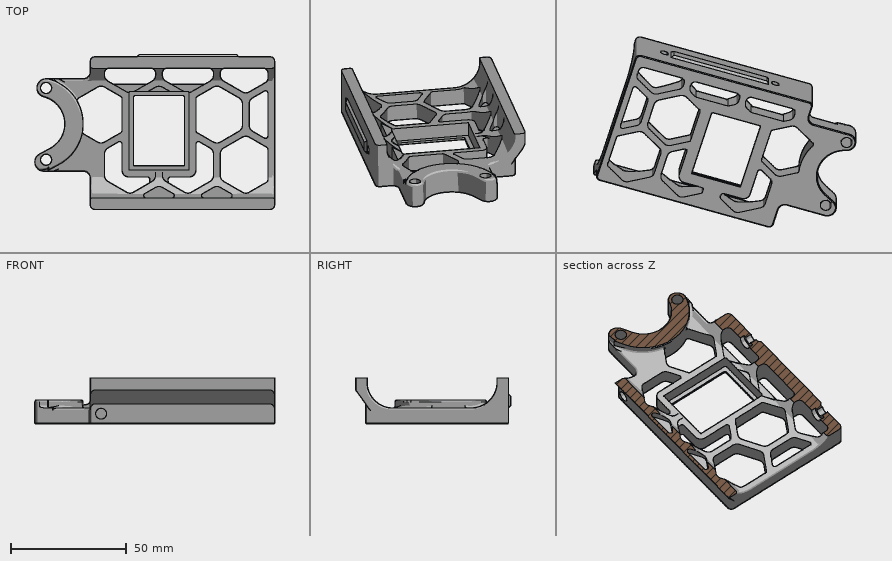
import cadquery as cq
import math

ARM_END_X = -39.7
FAR_END_X = 40.0
WIDTH = 66.0
HEIGHT = 20.0
FLOOR = 7.0
WALL_INNER_Y = 28.0
COVE_RADIUS = 11.0
CORNER_RADIUS = 2.0
RIM_ROUNDING = 1.0
BASE_CHAMFER = 0.4

UNDERCUT_TOP = 14.7
UNDERCUT_BOTTOM = 8.7
UNDERCUT_DEPTH = 4.3

ARM_BACK_Y = 23.5
ARM_FRONT_Y = -16.5
ARM_CORNER_RADIUS = 3.0
LOBE_RADIUS = 4.0
ARC_RADIUS = 16.0
ARC_Y = 4.0
CLAMP_TOP = 10.5
CLAMP_HOLE_X = -58.75
CLAMP_HOLE_SPACING = 31.0
HOLE_DIAMETER = 4.7
FRONT_LOBE_X = -59.65
CLAMP_ROUNDING = 1.0
FOOT_REACH = 1.6

CELL_PITCH = 25.0
CELL_GAP = 3.0
CELL_ROUNDING = 3.0
TRIM_ROUNDING = 1.0
BACK_TRIM_ROUNDING = 2.0
CELL_LIMIT_X = 37.0
GRID_X = -10.0
GRID_Y = 8.0

THROUGH_CELLS = [
    (-1, 0), (1, 0), (2, 0),
    (-0.5, 1), (0.5, 1), (1.5, 1),
    (-0.5, -1), (0.5, -1), (1.5, -1),
]
SHALLOW_CELLS = [(0, 0), (0, -2), (1, -2)]
BACK_ROW = 1

WINDOW_X = GRID_X
WINDOW_Y = 1.0
WINDOW_SIZE_X = 26.0
WINDOW_SIZE_Y = 34.0
FRAME_WALL = 3.0
FRAME_ROUNDING = 3.0
WINDOW_BACK_ROUNDING = 0.8
OPENING_Y = 1.1
OPENING_SIZE_X = 22.0
OPENING_SIZE_Y = 30.2
BAND_BACK_Y = 21.15
LEDGE_THICKNESS = 1.0
POST_WIDTH = 8.0
POST_LENGTH = 5.0

SIDE_HOLE_X = -35.0
SIDE_HOLE_Z = 4.5
SIDE_HOLE_DEPTH = 5.0
SCREW_COLUMNS = (-0.5, 1.5)
SCREW_Z = 10.0
SCREW_DIAMETER = 3.4
SCREW_HEAD_DIAMETER = 6.0
SCREW_HEAD_DEPTH = 2.0
PAD_LENGTH = 44.0
PAD_HEIGHT = 6.0
PAD_THICKNESS = 1.0
PAD_SLOPE = 45.0

TOLERANCE = 1e-3
SHORTEST_FOOT_EDGE = 1.0
SMOOTH_COSINE = 0.99

LENGTH = FAR_END_X - ARM_END_X
SIDE_Y = WIDTH / 2
UNDERCUT_Y = -SIDE_Y + UNDERCUT_DEPTH
COVE_Y = WALL_INNER_Y - COVE_RADIUS
COVE_Z = FLOOR + COVE_RADIUS
ARC_X = CLAMP_HOLE_X - math.sqrt(ARC_RADIUS**2 - (CLAMP_HOLE_SPACING / 2) ** 2)
ARC_INNER = ARC_RADIUS - LOBE_RADIUS
ARC_OUTER = ARC_RADIUS + LOBE_RADIUS
BACK_LOBE = (CLAMP_HOLE_X, ARM_BACK_Y - LOBE_RADIUS)
FRONT_LOBE = (FRONT_LOBE_X, ARM_FRONT_Y + LOBE_RADIUS)
FRAME_SIZE_X = WINDOW_SIZE_X + 2 * FRAME_WALL
FRAME_SIZE_Y = WINDOW_SIZE_Y + 2 * FRAME_WALL
ROW_PITCH = CELL_PITCH * math.sqrt(3) / 2
BAND_END_X = GRID_X + CELL_PITCH


def block(x0, x1, y0, y1, z0, z1):
    """Box given by its limits along each axis."""
    return cq.Workplane("XY").box(x1 - x0, y1 - y0, z1 - z0, centered=False).translate((x0, y0, z0))


def disc(x, y, radius, z0, z1):
    """Upright cylinder between two heights."""
    return cq.Workplane("XY", origin=(x, y, z0)).circle(radius).extrude(z1 - z0)


def y_cylinder(x, z, diameter, y0, y1):
    """Cylinder along Y from y0 towards larger y1."""
    return cq.Workplane("XZ", origin=(x, y0, z)).circle(diameter / 2).extrude(y0 - y1)


def channel_bar():
    """Bar with the channel section, long enough to cover body and arm."""
    diagonal = COVE_RADIUS * math.sqrt(0.5)
    return (
        cq.Workplane("YZ", origin=(-2 * LENGTH, 0, 0))
        .moveTo(UNDERCUT_Y, 0)
        .lineTo(SIDE_Y, 0)
        .lineTo(SIDE_Y, HEIGHT)
        .lineTo(WALL_INNER_Y, HEIGHT)
        .lineTo(WALL_INNER_Y, COVE_Z)
        .threePointArc((COVE_Y + diagonal, COVE_Z - diagonal), (COVE_Y, FLOOR))
        .lineTo(-COVE_Y, FLOOR)
        .threePointArc((-COVE_Y - diagonal, COVE_Z - diagonal), (-WALL_INNER_Y, COVE_Z))
        .lineTo(-WALL_INNER_Y, HEIGHT)
        .lineTo(-SIDE_Y, HEIGHT)
        .lineTo(-SIDE_Y, UNDERCUT_TOP)
        .lineTo(UNDERCUT_Y, UNDERCUT_BOTTOM)
        .close()
        .extrude(3 * LENGTH)
    )


def on_circle(x, y, radius, angle):
    """Point on a circle in plan, at an angle from +X in radians."""
    return (x + radius * math.cos(angle), y + radius * math.sin(angle))


def clamp_angles():
    """Directions from the arc centre to where the inner arc meets the back lobe and the front strip."""
    centre = (ARC_X, ARC_Y)
    back = math.atan2(BACK_LOBE[1] - ARC_Y, BACK_LOBE[0] - ARC_X)
    towards_front = math.atan2(FRONT_LOBE[1] - ARC_Y, FRONT_LOBE[0] - ARC_X)
    front = towards_front + math.acos(ARC_RADIUS / math.dist(FRONT_LOBE, centre))
    return back, front


def plan_outline():
    """Plan shape of body and arm; the clamp arc meets both lobes tangentially."""
    back_angle, front_angle = clamp_angles()
    bend = ARM_CORNER_RADIUS
    bend_middle = bend * math.sqrt(0.5)
    return (
        cq.Workplane("XY")
        .moveTo(*on_circle(*FRONT_LOBE, LOBE_RADIUS, -math.pi / 2))
        .lineTo(ARM_END_X - bend, ARM_FRONT_Y)
        .threePointArc(
            (ARM_END_X - bend + bend_middle, ARM_FRONT_Y - bend + bend_middle),
            (ARM_END_X, ARM_FRONT_Y - bend),
        )
        .lineTo(ARM_END_X, -SIDE_Y)
        .lineTo(FAR_END_X, -SIDE_Y)
        .lineTo(FAR_END_X, SIDE_Y)
        .lineTo(ARM_END_X, SIDE_Y)
        .lineTo(ARM_END_X, ARM_BACK_Y + bend)
        .threePointArc(
            (ARM_END_X - bend + bend_middle, ARM_BACK_Y + bend - bend_middle),
            (ARM_END_X - bend, ARM_BACK_Y),
        )
        .lineTo(*on_circle(*BACK_LOBE, LOBE_RADIUS, math.pi / 2))
        .threePointArc(
            on_circle(*BACK_LOBE, LOBE_RADIUS, math.pi),
            on_circle(*BACK_LOBE, LOBE_RADIUS, back_angle + math.pi),
        )
        .threePointArc(
            on_circle(ARC_X, ARC_Y, ARC_INNER, 0),
            on_circle(ARC_X, ARC_Y, ARC_INNER, front_angle),
        )
        .lineTo(*on_circle(*FRONT_LOBE, LOBE_RADIUS, front_angle + math.pi))
        .threePointArc(
            on_circle(*FRONT_LOBE, LOBE_RADIUS, math.pi),
            on_circle(*FRONT_LOBE, LOBE_RADIUS, -math.pi / 2),
        )
        .close()
    )


def on_end_face(x):
    """Whether x lies on either end of the body."""
    return min(abs(x - ARM_END_X), abs(x - FAR_END_X)) < TOLERANCE


def corner_edges(solid):
    """Upright outer corner edges of the long walls; the undercut keeps its sharp ends."""
    picked = []
    for edge in solid.edges("|Z").vals():
        centre = edge.Center()
        outside = centre.y < UNDERCUT_Y + TOLERANCE or centre.y > SIDE_Y - TOLERANCE
        if on_end_face(centre.x) and outside:
            picked.append(edge)
    return solid.newObject(picked)


def rim_edges(solid):
    """Upper edges of the channel along both ends and the arm sides."""
    picked = []
    for edge in solid.edges().vals():
        box = edge.BoundingBox()
        at_end = box.xlen < TOLERANCE and on_end_face(box.xmin)
        upper = box.zmin > FLOOR - TOLERANCE
        inside = abs(edge.Center().y) < WALL_INNER_Y + TOLERANCE
        beside_arm = box.xmax < ARM_END_X + TOLERANCE and box.xmin > ARC_X + ARC_RADIUS
        if upper and inside and (at_end or beside_arm):
            picked.append(edge)
    return solid.newObject(picked)


def base_body():
    """Channel with its arm, rounded corners and rims and a chamfered base."""
    body = plan_outline().extrude(HEIGHT).intersect(channel_bar())
    body = corner_edges(body).fillet(CORNER_RADIUS)
    body = rim_edges(body).fillet(RIM_ROUNDING)
    return body.faces("<Z").edges().chamfer(BASE_CHAMFER)


def clamp_column():
    """Outer disc of the clamp, widened by a strip running straight out to the front lobe."""
    bottom = FLOOR / 2
    front_angle = clamp_angles()[1]
    strip_length = math.dist(FRONT_LOBE, on_circle(ARC_X, ARC_Y, ARC_RADIUS, front_angle))
    strip = (
        block(0, ARC_OUTER, -strip_length, 0, bottom, CLAMP_TOP)
        .rotate((0, 0, 0), (0, 0, 1), math.degrees(front_angle))
        .translate((ARC_X, ARC_Y, 0))
    )
    return disc(ARC_X, ARC_Y, ARC_OUTER, bottom, CLAMP_TOP).union(strip)


def clamp():
    """Raised arc: the part of the arm within the outer edge of the clamp."""
    raised = plan_outline().extrude(CLAMP_TOP).intersect(clamp_column())
    return raised.faces(">Z").edges().fillet(CLAMP_ROUNDING)


def clamp_foot():
    """Concave rounding between the outer side of the clamp and the floor with its cove."""
    shoulder = CLAMP_TOP - CLAMP_ROUNDING
    column = disc(ARC_X, ARC_Y, ARC_OUTER, FLOOR / 2, HEIGHT)
    joined = channel_bar().union(column)
    foot_edges = []
    for edge in joined.edges().vals():
        box = edge.BoundingBox()
        near_column = box.xmax < ARC_X + ARC_OUTER + TOLERANCE
        curved = min(box.xlen, box.ylen) > SHORTEST_FOOT_EDGE
        below_top = FLOOR - TOLERANCE < box.zmin and box.zmax < HEIGHT - TOLERANCE
        if near_column and curved and below_top:
            foot_edges.append(edge)
    rounded = joined.newObject(foot_edges).fillet(CLAMP_ROUNDING)
    reach = disc(ARC_X, ARC_Y, ARC_OUTER + FOOT_REACH, FLOOR / 2, shoulder)
    return rounded.intersect(reach).intersect(plan_outline().extrude(HEIGHT))


def cell(column, row):
    """Rounded hexagonal prism of the honeycomb; whole rows are offset by half columns."""
    across_flats = CELL_PITCH - CELL_GAP
    x = GRID_X + column * CELL_PITCH
    y = GRID_Y + row * ROW_PITCH
    return (
        cq.Workplane("XY")
        .polygon(6, across_flats / math.cos(math.pi / 6))
        .extrude(HEIGHT)
        .edges("|Z")
        .fillet(CELL_ROUNDING)
        .rotate((0, 0, 0), (0, 0, 1), 30)
        .translate((x, y, 0))
    )


def trim_rounded(cutter, radius=TRIM_ROUNDING):
    """Round the sharp upright edges left where a cell was cut short."""
    picked = []
    for edge in cutter.edges("|Z").vals():
        faces = [f for f in cutter.faces().vals() if any(e.isSame(edge) for e in f.Edges())]
        middle = edge.Center()
        first, second = [f.normalAt(middle) for f in faces]
        if abs(first.dot(second)) < SMOOTH_COSINE:
            picked.append(edge)
    if not picked:
        return cutter
    return cutter.newObject(picked).fillet(radius)


def cell_limit(z0):
    """Space between the walls, short of the far end, that cells may occupy above z0."""
    return block(-LENGTH, CELL_LIMIT_X, -WALL_INNER_Y, WALL_INNER_Y, z0, HEIGHT)


def frame():
    """Solid block around the window, with the post towards the front wall."""
    half_x = FRAME_SIZE_X / 2
    half_y = FRAME_SIZE_Y / 2
    front = WINDOW_Y - half_y
    half_post = POST_WIDTH / 2
    body = block(WINDOW_X - half_x, WINDOW_X + half_x, front, WINDOW_Y + half_y, 0, FLOOR)
    body = body.edges("|Z and <Y").fillet(FRAME_ROUNDING)
    post = block(WINDOW_X - half_post, WINDOW_X + half_post, front - POST_LENGTH, WINDOW_Y, 0, FLOOR)
    return body.union(post)


def cut_cells(body):
    """Open the honeycomb: full-depth cells around the frame, shallow ones down to floor level."""
    ring = disc(ARC_X, ARC_Y, ARC_OUTER, 0, HEIGHT)
    back_band = block(-LENGTH, BAND_END_X, -SIDE_Y, BAND_BACK_Y, 0, FLOOR)
    below_floor = block(-LENGTH, LENGTH, -SIDE_Y, SIDE_Y, 0, FLOOR)
    for column, row in THROUGH_CELLS:
        shape = cell(column, row).intersect(cell_limit(0))
        if row == BACK_ROW:
            cutter = trim_rounded(shape, BACK_TRIM_ROUNDING).cut(back_band)
        else:
            upper = trim_rounded(shape).intersect(cell_limit(FLOOR))
            lower = trim_rounded(shape.intersect(below_floor).cut(frame()).cut(ring))
            cutter = upper.cut(ring).union(lower)
        body = body.cut(cutter)
    for column, row in SHALLOW_CELLS:
        body = body.cut(trim_rounded(cell(column, row).intersect(cell_limit(FLOOR))))
    return body


def window_cutter(y, size_x, size_y, z0):
    """Upright rectangular cutter with its two back corners slightly rounded."""
    return (
        cq.Workplane("XY", origin=(WINDOW_X, y, z0))
        .rect(size_x, size_y)
        .extrude(HEIGHT)
        .edges("|Z and >Y")
        .fillet(WINDOW_BACK_ROUNDING)
    )


def cut_window(body):
    """Framed pocket with a smaller opening through the ledge at its bottom."""
    opening = window_cutter(OPENING_Y, OPENING_SIZE_X, OPENING_SIZE_Y, 0)
    pocket = window_cutter(WINDOW_Y, WINDOW_SIZE_X, WINDOW_SIZE_Y, LEDGE_THICKNESS)
    return body.cut(opening).cut(pocket)


def cut_holes(body):
    """Clamp holes, blind hole in the front wall and counterbored screws in the back wall."""
    for side in (-1, 1):
        y = ARC_Y + side * CLAMP_HOLE_SPACING / 2
        body = body.cut(disc(CLAMP_HOLE_X, y, HOLE_DIAMETER / 2, 0, HEIGHT))
    body = body.cut(
        y_cylinder(SIDE_HOLE_X, SIDE_HOLE_Z, HOLE_DIAMETER, UNDERCUT_Y, UNDERCUT_Y + SIDE_HOLE_DEPTH)
    )
    for column in SCREW_COLUMNS:
        x = GRID_X + column * CELL_PITCH
        head_end = WALL_INNER_Y + SCREW_HEAD_DEPTH
        body = body.cut(y_cylinder(x, SCREW_Z, SCREW_DIAMETER, WALL_INNER_Y, SIDE_Y))
        body = body.cut(y_cylinder(x, SCREW_Z, SCREW_HEAD_DIAMETER, WALL_INNER_Y, head_end))
    return body


def pad():
    """Raised strip with sloping sides on the outside of the back wall, between the screws."""
    x = GRID_X + sum(SCREW_COLUMNS) / 2 * CELL_PITCH
    return (
        cq.Workplane("XZ", origin=(x, SIDE_Y, SCREW_Z))
        .rect(PAD_LENGTH, PAD_HEIGHT)
        .extrude(-PAD_THICKNESS, taper=PAD_SLOPE)
    )


body = base_body().union(clamp_foot()).union(clamp())
body = cut_cells(body)
body = cut_window(body)
body = cut_holes(body)
result = body.union(pad())